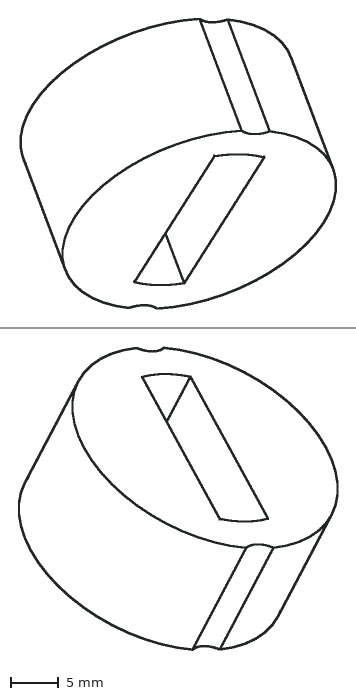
import cadquery as cq
import math

disc_diameter = 30.0
disc_thickness = 15.0

slot_length = 22.0
slot_width = 6.0

groove_radius = 3.0
groove_chord = 3.4
tilt = 24.5

half_chord = groove_chord / 2
groove_offset = (
    math.sqrt((disc_diameter / 2) ** 2 - half_chord**2)
    + math.sqrt(groove_radius**2 - half_chord**2)
)


def cylinder(diameter):
    return cq.Workplane("YZ").circle(diameter / 2).extrude(disc_thickness)


def slot():
    bar = cq.Workplane("YZ").rect(slot_width, disc_diameter).extrude(disc_thickness)
    return bar.intersect(cylinder(slot_length))


def grooves():
    return (
        cq.Workplane("YZ")
        .pushPoints([(0, groove_offset), (0, -groove_offset)])
        .circle(groove_radius)
        .extrude(disc_thickness)
    )


body = cylinder(disc_diameter).cut(slot()).cut(grooves())

result = body.rotate((0, 0, 0), (1, 0, 0), -tilt).translate((-disc_thickness / 2, 0, 0))